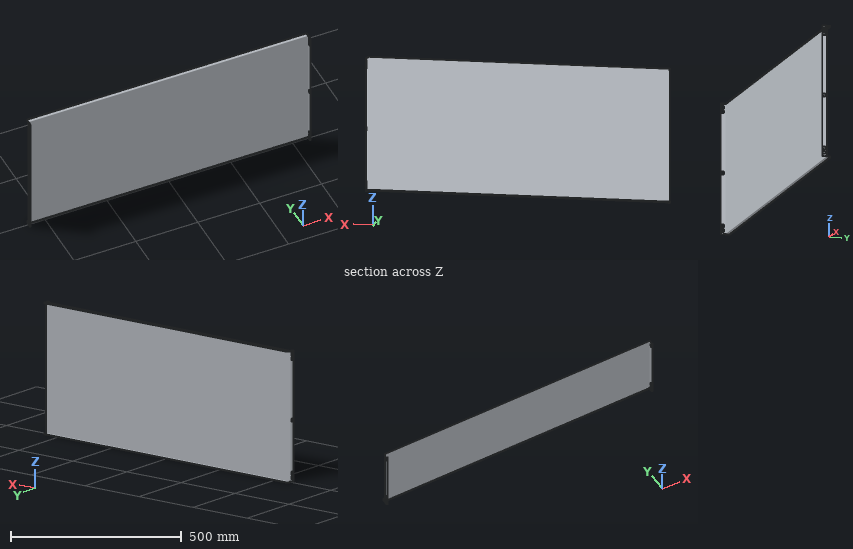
import cadquery as cq

width = 906.0
height = 398.0
depth = 26.8

thickness = 1.2
inner_bend_radius = 0.5
outer_bend_radius = inner_bend_radius + thickness

side_flange_length = 16.0
end_flange_length = depth + thickness - side_flange_length
corner_radius = 4.5

end_flange_inset = 1.0

relief_height = 2.0
relief_depth = 6.0

hole_diameter = 9.5
hole_tip_distance = 6.0
hole_end_distance = 12.0
hole_pitch = 13.5
middle_hole_z = -12.5
outer_hole_z = height / 2 - hole_end_distance
inner_hole_z = outer_hole_z - hole_pitch
hole_heights = [outer_hole_z, inner_hole_z, middle_hole_z, -inner_hole_z, -outer_hole_z]


def make_panel():
    """Flat middle of the sheet, ending where the bends begin."""
    flat_width = width - 2 * outer_bend_radius
    flat_height = height - 2 * outer_bend_radius
    return cq.Workplane("XY").box(flat_width, thickness, flat_height)


def make_bend(length):
    """Quarter bend from a sheet along X to one along -Y, outer corner at X = 0, centred on Z = 0."""
    back = thickness / 2
    centre_y = back - outer_bend_radius
    ring = (
        cq.Workplane("XY")
        .center(-outer_bend_radius, centre_y)
        .circle(outer_bend_radius)
        .circle(inner_bend_radius)
        .extrude(length / 2, both=True)
    )
    quarter = (
        cq.Workplane("XY")
        .box(outer_bend_radius, outer_bend_radius, length)
        .translate((-outer_bend_radius / 2, back - outer_bend_radius / 2, 0))
    )
    return ring.intersect(quarter)


def make_flange(edge_length, bend_length, flange_length):
    """Bend and flange for a sheet edge at X = 0, folded toward -Y, with its tip corners rounded."""
    bend_end_y = thickness / 2 - outer_bend_radius
    flat_length = flange_length - outer_bend_radius
    flat = (
        cq.Workplane("XY")
        .box(thickness, flat_length, edge_length)
        .translate((-thickness / 2, bend_end_y - flat_length / 2, 0))
        .faces("<Y")
        .edges("|X")
        .fillet(corner_radius)
    )
    return flat.union(make_bend(bend_length))


def make_side_flange():
    """Right-hand flange with its mounting holes and the reliefs at both ends of its bend."""
    bend_length = height - 2 * relief_height
    flange = make_flange(height, bend_length, side_flange_length)
    relief = (
        cq.Workplane("XY")
        .box(2 * outer_bend_radius, relief_depth, relief_height)
        .translate((0, thickness / 2 - relief_depth / 2, (height - relief_height) / 2))
    )
    hole_y = thickness / 2 - side_flange_length + hole_tip_distance
    holes = (
        cq.Workplane("YZ")
        .pushPoints([(hole_y, z) for z in hole_heights])
        .circle(hole_diameter / 2)
        .extrude(2 * thickness, both=True)
    )
    cuts = holes.union(relief).union(relief.mirror("XY"))
    return flange.cut(cuts).translate((width / 2, 0, 0))


def make_top_flange():
    """Flange along the top edge, folded toward +Y, a little shorter than the panel."""
    length = width - 2 * end_flange_inset
    flange = make_flange(length, length, end_flange_length)
    return flange.rotate((0, 0, 0), (0, 1, 0), -90).mirror("XZ").translate((0, 0, height / 2))


side_flange = make_side_flange()
top_flange = make_top_flange()
result = (
    make_panel()
    .union(side_flange)
    .union(side_flange.mirror("YZ"))
    .union(top_flange)
    .union(top_flange.mirror("XY"))
)